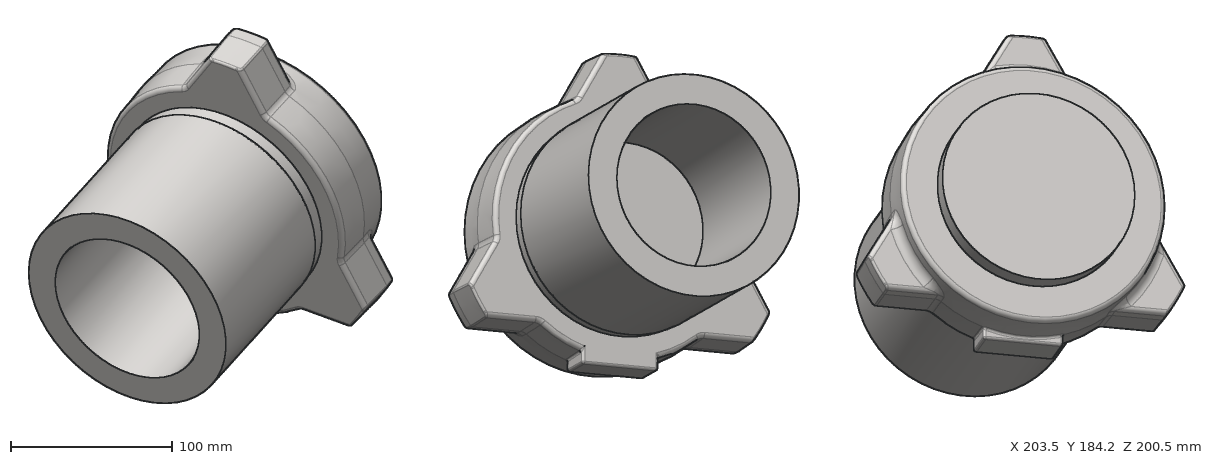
import cadquery as cq
import math

PIPE_END = -120.65
NECK_FRONT = -9.525
NUT_FRONT = 0.0
PARTING = 25.4
LUG_BACK = 34.925
NUT_BACK = 50.8
BOSS_BACK = 63.5
BORE_FLOOR = NECK_FRONT

PIPE_RADIUS = 70.65
BORE_RADIUS = 51.6
NECK_RADIUS = 69.85
BOSS_RADIUS = 61.6

NUT_RADIUS = 85.6
DRAFT = 2.0
LUG_COUNT = 3
LUG_TIP_RADIUS = 111.3
LUG_SIDE_DISTANCE = 65.98
NUT_ROUND = 3.175
TIP_ROUND = 1.5875
ROOT_FILLET = 6.35

TAB_WIDTH = 51.0
TAB_REACH = 89.18
TAB_ROUND = 1.5875

TIP_EDGE_DEPTH = 4.0
TOLERANCE = 0.01


def plane_at(y):
    """Sketch plane across the axis; its normal points to +Y and its local Y is +Z."""
    return cq.Workplane(cq.Plane(origin=(0, y, 0), xDir=(-1, 0, 0), normal=(0, 1, 0)))


def cylinder(radius, start, end):
    return plane_at(start).circle(radius).extrude(end - start)


def distance_from_axis(point):
    return math.hypot(point.x, point.z)


def sample_points(edge):
    """Start, middle and end of an edge."""
    return [edge.positionAt(t) for t in (0, 0.5, 1)]


def fillet_edges(body, radius, is_chosen):
    """Round the edges of the body that pass the test is_chosen."""
    edges = [e for e in body.edges().vals() if is_chosen(e)]
    return cq.Workplane(body.val().fillet(radius, edges))


def lug_outline(plane):
    """Equilateral triangle with its corners cut to arcs: the tips of the lugs."""
    pitch = 2 * math.pi / LUG_COUNT
    half_angle = pitch / 2 - math.acos(LUG_SIDE_DISTANCE / LUG_TIP_RADIUS)

    def tip_point(angle):
        return (LUG_TIP_RADIUS * math.sin(angle), LUG_TIP_RADIUS * math.cos(angle))

    outline = plane.moveTo(*tip_point(-half_angle))
    for i in range(LUG_COUNT):
        axis = i * pitch
        if i > 0:
            outline = outline.lineTo(*tip_point(axis - half_angle))
        outline = outline.threePointArc(tip_point(axis), tip_point(axis + half_angle))
    return outline.close()


def drafted_hub():
    front = plane_at(PARTING).circle(NUT_RADIUS).extrude(NUT_FRONT - PARTING, taper=DRAFT)
    back = plane_at(PARTING).circle(NUT_RADIUS).extrude(NUT_BACK - PARTING, taper=DRAFT)
    return front.union(back).faces(">Y").edges().fillet(NUT_ROUND)


def drafted_lugs():
    front = lug_outline(plane_at(PARTING)).extrude(NUT_FRONT - PARTING, taper=DRAFT)
    back = lug_outline(plane_at(PARTING)).extrude(LUG_BACK - PARTING, taper=DRAFT)
    return front.union(back).faces(">Y").edges("%LINE").fillet(NUT_ROUND)


def is_lug_root(edge):
    """True for the edges where a lug meets the drafted wall of the hub."""
    points = sample_points(edge)
    inner_radius = NUT_RADIUS - NUT_BACK * math.tan(math.radians(DRAFT))
    on_hub = all(inner_radius < distance_from_axis(p) < NUT_RADIUS + TOLERANCE for p in points)
    behind_front = points[1].y > NUT_FRONT + TOLERANCE
    along_lug_side = abs(points[0].y - points[2].y) > TOLERANCE
    along_lug_back = abs(points[1].y - LUG_BACK) < TOLERANCE
    below_back = points[1].y < LUG_BACK + TOLERANCE
    return on_hub and behind_front and below_back and (along_lug_side or along_lug_back)


def is_tip_edge(edge):
    """True for the edges around a lug tip, without the parting line across it."""
    points = sample_points(edge)
    on_tip = distance_from_axis(points[1]) > LUG_TIP_RADIUS - TIP_EDGE_DEPTH
    on_parting = all(abs(p.y - PARTING) < TOLERANCE for p in points)
    return on_tip and not on_parting


def is_front_edge(edge):
    """True for the edges of the front face, without those at the lug tips."""
    on_front = all(abs(p.y - NUT_FRONT) < TOLERANCE for p in sample_points(edge))
    return on_front and not is_tip_edge(edge)


def round_nut_edges(nut):
    nut = fillet_edges(nut, ROOT_FILLET, is_lug_root)
    nut = fillet_edges(nut, NUT_ROUND, is_front_edge)
    return fillet_edges(nut, TIP_ROUND, is_tip_edge)


def anvil_tab():
    tab = (
        plane_at(NUT_FRONT)
        .moveTo(0, -TAB_REACH / 2)
        .rect(TAB_WIDTH, TAB_REACH)
        .extrude(PARTING - NUT_FRONT)
    )
    return tab.edges("|Z or <Z").fillet(TAB_ROUND)


def is_tab_root(edge):
    """True for the edges where the tab runs into the hub."""
    points = sample_points(edge)
    at_tab = all(abs(p.x) < TAB_WIDTH / 2 + TOLERANCE and -p.z > NECK_RADIUS for p in points)
    on_hub = all(distance_from_axis(p) < NUT_RADIUS + TOLERANCE for p in points)
    return at_tab and on_hub


def add_anvil_tab(nut):
    nut = anvil_tab().union(nut)
    return fillet_edges(nut, TAB_ROUND, is_tab_root)


def coupling():
    nut = round_nut_edges(drafted_hub().union(drafted_lugs()))
    nut = add_anvil_tab(nut)
    pipe = cylinder(PIPE_RADIUS, PIPE_END, NECK_FRONT)
    neck = cylinder(NECK_RADIUS, NECK_FRONT, NUT_FRONT)
    boss = cylinder(BOSS_RADIUS, NUT_BACK, BOSS_BACK)
    bore = cylinder(BORE_RADIUS, PIPE_END, BORE_FLOOR)
    return nut.union(neck).union(pipe).union(boss).cut(bore)


result = coupling()